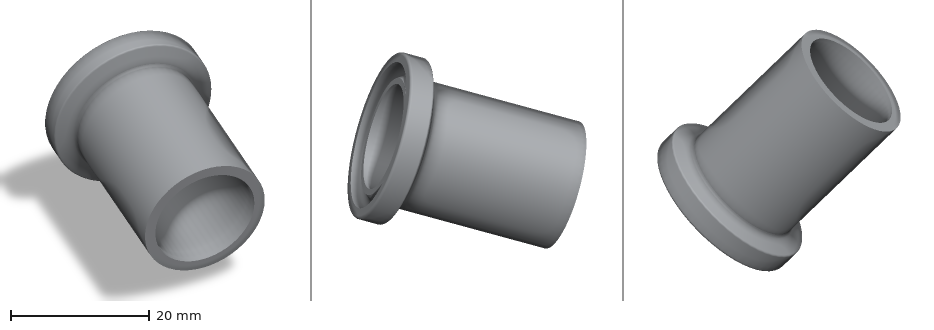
import cadquery as cq
import math

length = 28.57
tube_radius = 19.05 / 2
bore_radius = 15.75 / 2
flange_radius = 24.99 / 2

front_rim_fillet = 0.4
back_rim_fillet = 0.33
rim_width = 3.63
back_slope = math.radians(20)
neck_fillet = 0.43

groove_radius = 21.89 / 2
groove_wall_depth = 1.33
cone_end_radius = 9.50
cone_angle = math.radians(35)
lip_recess = 0.76

neck_x = rim_width + (flange_radius - tube_radius) * math.tan(back_slope)

floor_arc_radius = (groove_radius - cone_end_radius) / (1 + math.cos(cone_angle))
floor_arc_center_radius = groove_radius - floor_arc_radius
groove_depth = groove_wall_depth + floor_arc_radius
cone_end_x = groove_wall_depth + floor_arc_radius * math.sin(cone_angle)
lip_radius = cone_end_radius - (cone_end_x - lip_recess) * math.tan(cone_angle)


def revolve_about_x(profile):
    """Turn a closed half profile (x, radius) into a solid about the X axis."""
    return profile.close().revolve(360, (0, 0, 0), (1, 0, 0))


def circle_at(x, radius):
    """Select the circular edges in the plane at x that lie within the given radius."""
    margin = 0.01
    reach = radius + margin
    return cq.selectors.BoxSelector(
        (x - margin, -reach, -reach),
        (x + margin, reach, reach),
        boundingbox=True,
    )


def flange_and_tube():
    """Solid rim, tapered back and tube, with rounded corners."""
    body = revolve_about_x(
        cq.Workplane("XY")
        .lineTo(0, flange_radius)
        .lineTo(rim_width, flange_radius)
        .lineTo(neck_x, tube_radius)
        .lineTo(length, tube_radius)
        .lineTo(length, 0)
    )
    body = body.edges(circle_at(0, flange_radius)).fillet(front_rim_fillet)
    body = body.edges(circle_at(rim_width, flange_radius)).fillet(back_rim_fillet)
    return body.edges(circle_at(neck_x, tube_radius)).fillet(neck_fillet)


def front_recess():
    """Material removed from the flange face: the gasket groove and the lip recess."""
    return revolve_about_x(
        cq.Workplane("XY")
        .lineTo(0, groove_radius)
        .lineTo(groove_wall_depth, groove_radius)
        .threePointArc(
            (groove_depth, floor_arc_center_radius),
            (cone_end_x, cone_end_radius),
        )
        .lineTo(lip_recess, lip_radius)
        .lineTo(lip_recess, 0)
    )


def bore():
    """Straight bore through the whole length."""
    return cq.Workplane("YZ").circle(bore_radius).extrude(length)


result = flange_and_tube().cut(front_recess()).cut(bore())